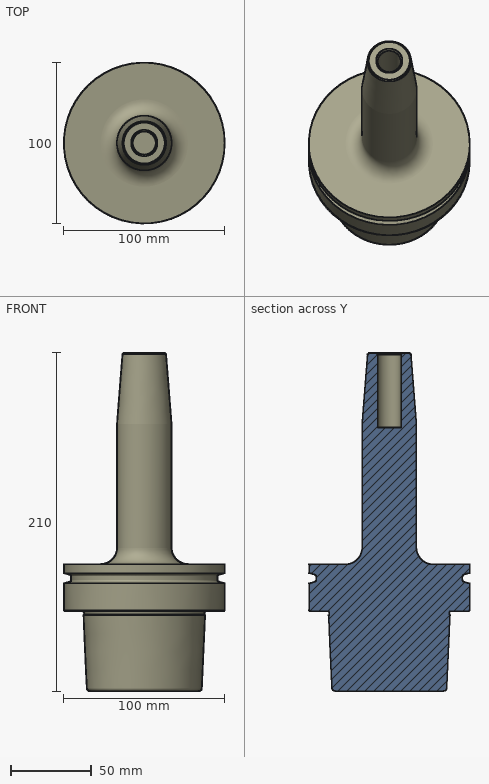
import cadquery as cq
import math

total_height = 210.0
flange_bottom = 49.5
flange_top = 79.0
nose_bottom = 165.6

flange_radius = 50.0
shank_radius = 17.0
taper_small_radius = 35.7
taper_large_radius = 37.8

taper_end_fillet = 2.0
neck_height = 2.5
neck_depth = 0.5
neck_shoulder_height = 0.8
neck_fillet = 0.8

flange_bottom_chamfer = 0.6
groove_bottom = 67.0
groove_top = 73.3
groove_floor_radius = 45.5
groove_flank_rise = 1.3
groove_floor_fillet = 0.8

shank_fillet = 10.0
nose_half_angle = 4.5
nose_chamfer = 0.8

bore_radius = 7.1
bore_depth = 46.2
bore_chamfer = 1.0


def fillet_circles(body, circle_radius, lowest, highest, fillet_radius):
    """Round the circular edges of one radius that lie between two heights."""
    tolerance = 0.02

    def is_wanted(edge):
        height = edge.Center().z
        in_range = lowest - tolerance < height < highest + tolerance
        return in_range and abs(edge.radius() - circle_radius) < tolerance

    circles = [edge for edge in body.edges("%CIRCLE").vals() if is_wanted(edge)]
    return body.newObject(circles).fillet(fillet_radius)


def make_body():
    """Revolve the outer profile of taper, flange, shank and conical nose."""
    nose_height = total_height - nose_bottom
    nose_radius = shank_radius - nose_height * math.tan(math.radians(nose_half_angle))
    neck_bottom = flange_bottom - neck_height
    neck_radius = taper_large_radius - neck_depth
    fillet_corner_offset = shank_fillet * (1 - math.sqrt(0.5))
    profile = (
        cq.Workplane("XZ")
        .moveTo(0, 0)
        .lineTo(taper_small_radius, 0)
        .lineTo(taper_large_radius, neck_bottom)
        .lineTo(neck_radius, neck_bottom + neck_shoulder_height)
        .lineTo(neck_radius, flange_bottom)
        .lineTo(flange_radius - flange_bottom_chamfer, flange_bottom)
        .lineTo(flange_radius, flange_bottom + flange_bottom_chamfer)
        .lineTo(flange_radius, groove_bottom)
        .lineTo(groove_floor_radius, groove_bottom + groove_flank_rise)
        .lineTo(groove_floor_radius, groove_top - groove_flank_rise)
        .lineTo(flange_radius, groove_top)
        .lineTo(flange_radius, flange_top)
        .lineTo(shank_radius + shank_fillet, flange_top)
        .threePointArc(
            (shank_radius + fillet_corner_offset, flange_top + fillet_corner_offset),
            (shank_radius, flange_top + shank_fillet),
        )
        .lineTo(shank_radius, nose_bottom)
        .lineTo(nose_radius, total_height)
        .lineTo(0, total_height)
        .close()
    )
    body = profile.revolve(360, (0, 0, 0), (0, 1, 0))
    body = fillet_circles(body, groove_floor_radius, groove_bottom, groove_top, groove_floor_fillet)
    body = fillet_circles(body, neck_radius, flange_bottom, groove_bottom, neck_fillet)
    body = body.faces("<Z").edges().fillet(taper_end_fillet)
    return body.faces(">Z").edges().chamfer(nose_chamfer)


def make_bore():
    """Blind tool bore, widened by a chamfer at the nose face."""
    bore_floor = total_height - bore_depth
    mouth_radius = bore_radius + bore_chamfer
    profile = (
        cq.Workplane("XZ")
        .moveTo(0, bore_floor)
        .lineTo(bore_radius, bore_floor)
        .lineTo(bore_radius, total_height - bore_chamfer)
        .lineTo(mouth_radius, total_height)
        .lineTo(0, total_height)
        .close()
    )
    return profile.revolve(360, (0, 0, 0), (0, 1, 0))


result = make_body().cut(make_bore())